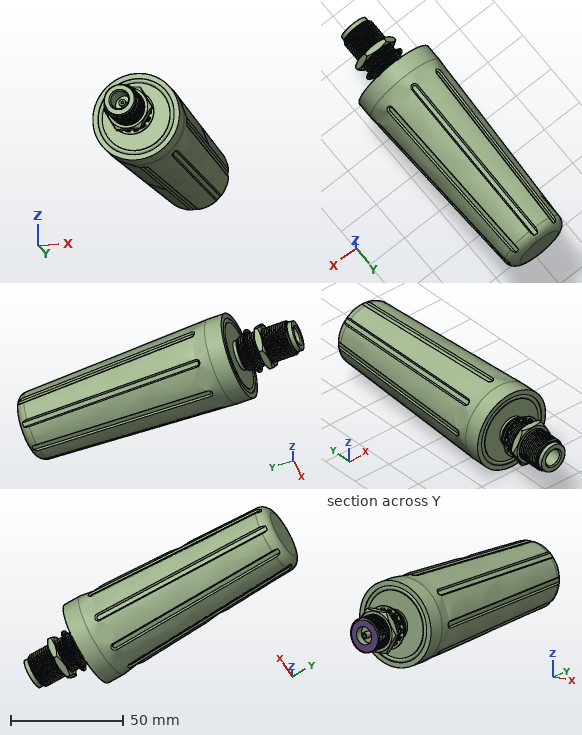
import cadquery as cq
import math


overall_length = 131.0

housing_length = 102.6
base_radius = 20.0
base_band_length = 8.1
tip_radius = 15.6
tip_fillet = 5.0
cone_angle = math.degrees(math.atan((base_radius - tip_radius) / (housing_length - base_band_length)))

groove_count = 8
groove_floor_width = 2.0
groove_depth = 0.8
groove_flare = 45.0
groove_start = 13.0
groove_cutter_height = 2.0

oring_mean_radius = 16.6
oring_section_radius = 1.0
oring_protrusion = 0.3
oring_groove_depth = 2 * oring_section_radius - oring_protrusion

connector_length = overall_length - housing_length
neck_radius = 6.95
thread_radius = 7.94
thread_root_radius = 7.2
inch = 25.4
threads_per_inch = 24
thread_pitch = inch / threads_per_inch
thread_start = 0.84
thread_from = 1.6
thread_to = 26.3
thread_crest_width = 0.15
thread_root_width = 0.1
thread_embed = 0.1
bore_radius = 4.1
bore_depth = 9.0
bore_chamfer = 0.6
bore_chamfer_angle = 45.0
pin_radius = 1.5
pin_length = 4.0
pin_hole_radius = 0.6
pin_hole_depth = 3.0

thread_clearance = 0.02
ring_bore_radius = thread_radius + thread_clearance
washer_radius = 10.0
washer_thickness = 0.5
washer_from = 6.4
washer_notch_count = 14
washer_notch_width = 2.0
washer_notch_radius = 8.9
nut_across_flats = 19.05
nut_thickness = 3.4
nut_from = 11.2
nut_face_radius = 9.35
nut_chamfer_angle = 30.0


def rod(radius, start, length):
    """Cylinder on the part axis that runs from Y = -start toward -Y."""
    return cq.Workplane("XZ", origin=(0, -start, 0)).circle(radius).extrude(length)


def revolve_profile(profile):
    """Turn a closed profile of (radius, Y) around the part axis."""
    return profile.revolve(360, (0, 0, 0), (0, 1, 0))


def groove_cutter():
    """Flared round-ended cutter on the +Z side that follows the slope of the cone and runs out at the tip."""
    slope = math.radians(cone_angle)
    flare_at_surface = groove_depth * math.tan(math.radians(groove_flare))
    floor_start = groove_start + flare_at_surface
    floor_z = base_radius - (floor_start - base_band_length) * math.tan(slope) - groove_depth / math.cos(slope)
    floor_length = housing_length - floor_start + groove_floor_width
    floor = cq.Plane(
        origin=(0, floor_start, floor_z),
        xDir=(0, math.cos(slope), -math.sin(slope)),
        normal=(0, math.sin(slope), math.cos(slope)),
    )
    return (
        cq.Workplane(floor)
        .center(floor_length / 2, 0)
        .slot2D(floor_length, groove_floor_width)
        .extrude(groove_cutter_height, taper=-groove_flare)
    )


def make_housing():
    body = revolve_profile(
        cq.Workplane("XY").polyline([
            (0, 0),
            (base_radius, 0),
            (base_radius, base_band_length),
            (tip_radius, housing_length),
            (0, housing_length),
        ]).close()
    )
    body = body.faces(">Y").edges().fillet(tip_fillet)
    cutter = groove_cutter()
    for i in range(groove_count):
        body = body.cut(cutter.rotate((0, 0, 0), (0, 1, 0), i * 360 / groove_count))
    oring_groove = (
        cq.Workplane("XZ", origin=(0, oring_groove_depth, 0))
        .circle(oring_mean_radius + oring_section_radius)
        .circle(oring_mean_radius - oring_section_radius)
        .extrude(oring_groove_depth)
    )
    return body.cut(oring_groove)


def make_oring():
    center_y = oring_section_radius - oring_protrusion
    section = cq.Workplane("XY").moveTo(oring_mean_radius, center_y).circle(oring_section_radius)
    return revolve_profile(section)


def thread_ridge():
    """Right-handed helical ridge of the thread, sunk slightly into the core and tapered off at both ends."""
    crest_half_width = thread_crest_width / 2
    sunk_radius = thread_root_radius - thread_embed
    sunk_half_width = (thread_pitch - thread_root_width) / 2
    turns = math.ceil((thread_to - thread_from) / thread_pitch) + 1
    helix = cq.Wire.makeHelix(thread_pitch, turns * thread_pitch, sunk_radius)
    ridge = (
        cq.Workplane("XZ")
        .polyline([
            (sunk_radius, -sunk_half_width),
            (sunk_radius, sunk_half_width),
            (thread_radius, crest_half_width),
            (thread_radius, -crest_half_width),
        ])
        .close()
        .sweep(cq.Workplane(obj=helix), isFrenet=True)
    )
    ridge = ridge.rotate((0, 0, 0), (1, 0, 0), 90).rotate((0, 0, 0), (0, 1, 0), -90)
    ridge = ridge.translate((0, -thread_start, 0))
    envelope_radius = thread_radius + thread_embed
    taper = envelope_radius - neck_radius
    envelope = rod(envelope_radius, thread_from, thread_to - thread_from).edges().chamfer(taper)
    return ridge.intersect(envelope)


def make_connector():
    core = rod(thread_root_radius, thread_from, thread_to - thread_from)
    thread = core.union(thread_ridge())
    body = rod(neck_radius, 0, connector_length).union(thread)
    bore = rod(bore_radius, connector_length - bore_depth, bore_depth)
    bore_rim = (
        cq.Workplane("XZ", origin=(0, -connector_length, 0))
        .circle(bore_radius + bore_chamfer)
        .extrude(-bore_chamfer, taper=bore_chamfer_angle)
    )
    floor_at = connector_length - bore_depth
    pin = rod(pin_radius, floor_at, pin_length)
    pin_hole = rod(pin_hole_radius, floor_at + pin_length - pin_hole_depth, pin_hole_depth)
    return body.cut(bore).cut(bore_rim).union(pin).cut(pin_hole)


def make_washer():
    """Internal-tooth lock washer whose teeth are left between notches around the bore."""
    ring = rod(washer_radius, washer_from, washer_thickness)
    notches = (
        cq.Workplane("XZ", origin=(0, -washer_from, 0))
        .polarArray(washer_notch_radius / 2, 0, 360, washer_notch_count)
        .rect(washer_notch_radius, washer_notch_width)
        .extrude(washer_thickness)
    )
    return ring.cut(rod(ring_bore_radius, washer_from, washer_thickness)).cut(notches)


def make_nut():
    corner_radius = nut_across_flats / 2 / math.cos(math.pi / 6)
    chamfer_drop = (corner_radius - nut_face_radius) * math.tan(math.radians(nut_chamfer_angle))
    hexagon = (
        cq.Workplane("XZ", origin=(0, -nut_from, 0))
        .polygon(6, 2 * corner_radius)
        .circle(ring_bore_radius)
        .extrude(nut_thickness)
    )
    near = -nut_from
    far = near - nut_thickness
    chamfered_blank = revolve_profile(
        cq.Workplane("XY").polyline([
            (0, near),
            (nut_face_radius, near),
            (corner_radius, near - chamfer_drop),
            (corner_radius, far + chamfer_drop),
            (nut_face_radius, far),
            (0, far),
        ]).close()
    )
    return hexagon.intersect(chamfered_blank)


housing = make_housing()
oring = make_oring()
connector = make_connector()
washer = make_washer()
nut = make_nut()

result = cq.Compound.makeCompound([housing.val(), oring.val(), connector.val(), washer.val(), nut.val()])